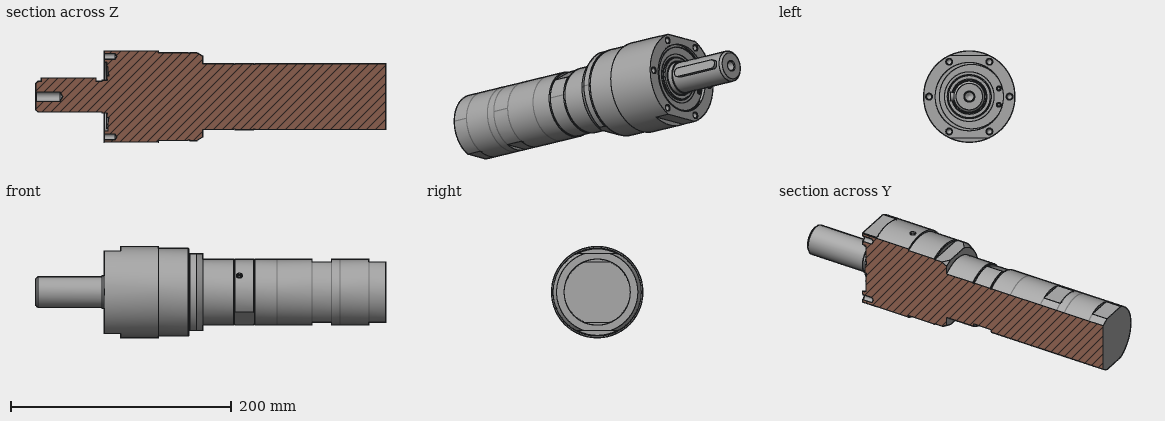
import cadquery as cq
import math


shaft_end = 60.0
body_start = 62.0
body_end = 111.2
nut_start = 139.0
nut_end = 151.5
ring_start = 180.1
ring_end = 198.2
neck_start = 250.7
neck_end = 268.0
tail_start = 302.0
plain_joints = (219.0, neck_start, neck_end, 276.0, tail_start)
total_length = 317.5

shaft_diameter = 28.0
collar_diameter = 30.0
body_diameter = 83.0
housing_diameter = 80.0
motor_diameter = 60.0

shaft_chamfer = 2.0
joint_chamfer = 0.8
nut_chamfer_length = 5.5
nut_chamfer_angle = 30.0
nut_chamfer_height = nut_chamfer_length * math.tan(math.radians(nut_chamfer_angle))

body_flat_length = 15.0
body_across_flats = 75.0
nut_across_flats = 70.0
motor_across_flats = 55.0
ring_flat_tilt = -30.0

key_start = 4.9
key_length = 50.0
key_width = 8.0
key_top = 17.0
key_seat = 10.0
centre_hole_diameter = 8.38
centre_hole_mouth = 10.0
centre_hole_depth = 22.0

bolt_circle_diameter = 73.0
bolt_count = 6
bolt_hole_diameter = 4.92
bolt_hole_mouth = 6.2
bolt_hole_depth = 10.0

seat_diameter = 62.0
seat_depth = 3.6
seal_diameter = 45.0
seal_depth = 3.9
groove_diameter = 40.0
groove_depth = 4.4
race_diameter = 38.0
race_depth = 2.6
race_bore_diameter = 32.0
race_bore_depth = 2.9

clip_thickness = 1.2
clip_inner_diameter = 58.4
clip_offset = 2.1
clip_lug_diameter = 4.4
clip_hole_diameter = 2.5
clip_hole_y = -26.8
clip_hole_z = 7.4

port_mouth = 5.5
port_diameter = 3.6
port_depth = 3.0
pilot_diameter = 1.55
pilot_depth = 7.0
body_port_x = 104.4
ring_port_x = 184.7
ring_port_angle = 60.0

drill_point_angle = 118.0


def cylinder(diameter, start, end):
    """Solid cylinder on the X axis between two stations."""
    return cq.Workplane("YZ").workplane(offset=start).circle(diameter / 2).extrude(end - start)


def drilled_hole(diameter, mouth_diameter, depth):
    """Countersunk blind hole with a drill point, entering along +X at the origin."""
    radius = diameter / 2
    mouth_radius = mouth_diameter / 2
    point_length = radius / math.tan(math.radians(drill_point_angle / 2))
    profile = [
        (0, 0),
        (0, mouth_radius),
        (mouth_radius - radius, radius),
        (depth, radius),
        (depth + point_length, 0),
    ]
    return cq.Workplane("XY").polyline(profile).close().revolve(360, (0, 0, 0), (1, 0, 0))


def flat_pair(across_flats, start, end, angle=0.0):
    """Two opposite cutters that leave flats facing +Z and -Z, then turned about X."""
    length = end - start
    depth = body_diameter / 2
    cutters = cq.Workplane("XY")
    for side in (1, -1):
        centre = (start + length / 2, 0, side * (across_flats + depth) / 2)
        cutters = cutters.add(cq.Workplane("XY").box(length, body_diameter, depth).translate(centre))
    return cutters.combine().rotate((0, 0, 0), (1, 0, 0), angle)


def bearing_seat():
    """Stepped outline of the front recess, from the collar outward to the body face."""
    steps = [
        (collar_diameter, race_bore_diameter, race_bore_depth),
        (race_bore_diameter, race_diameter, race_depth),
        (race_diameter, groove_diameter, groove_depth),
        (groove_diameter, seal_diameter, seal_depth),
        (seal_diameter, seat_diameter, seat_depth),
    ]
    points = []
    for inner, outer, depth in steps:
        points.append((body_start + depth, inner / 2))
        points.append((body_start + depth, outer / 2))
    return points


def turned_body():
    """Revolved spindle with V grooves at the chamfered joints and edges at the plain joints."""
    motor_radius = motor_diameter / 2
    housing_radius = housing_diameter / 2
    profile = [
        (0, 0),
        (0, shaft_diameter / 2 - shaft_chamfer),
        (shaft_chamfer, shaft_diameter / 2),
        (shaft_end, shaft_diameter / 2),
        (shaft_end, collar_diameter / 2),
        *bearing_seat(),
        (body_start, seat_diameter / 2),
        (body_start, body_diameter / 2),
        (body_end, body_diameter / 2),
        (body_end, housing_radius),
        (nut_start - joint_chamfer, housing_radius),
        (nut_start, housing_radius - joint_chamfer),
        (nut_start + joint_chamfer, housing_radius),
        (nut_end - nut_chamfer_length, housing_radius),
        (nut_end, housing_radius - nut_chamfer_height),
        (nut_end, motor_radius),
    ]
    for joint in (ring_start, ring_end):
        profile += [
            (joint - joint_chamfer, motor_radius),
            (joint, motor_radius - joint_chamfer),
            (joint + joint_chamfer, motor_radius),
        ]
    profile += [(joint, motor_radius) for joint in plain_joints]
    profile += [(total_length, motor_radius), (total_length, 0)]
    return cq.Workplane("XY").polyline(profile).close().revolve(360, (0, 0, 0), (1, 0, 0), clean=False)


def wrench_flats(part):
    """Mill the flats on body, nut, ring, neck and tail."""
    part = part.cut(flat_pair(body_across_flats, body_start, body_start + body_flat_length), clean=False)
    part = part.cut(flat_pair(nut_across_flats, nut_start, nut_end), clean=False)
    part = part.cut(flat_pair(motor_across_flats, ring_start, ring_end, ring_flat_tilt), clean=False)
    part = part.cut(flat_pair(motor_across_flats, neck_start, neck_end), clean=False)
    return part.cut(flat_pair(motor_across_flats, tail_start, total_length), clean=False)


def retaining_ring():
    """Internal ring that is thickest at +Y, with two drilled lugs beside its opening."""
    start = body_start + seat_depth - clip_thickness
    end = body_start + seat_depth
    opening = cylinder(clip_inner_diameter, start, end).translate((0, -clip_offset, 0))
    clip = cylinder(seat_diameter, start, end).cut(opening)
    for side in (1, -1):
        place = (0, clip_hole_y, side * clip_hole_z)
        clip = clip.union(cylinder(clip_lug_diameter, start, end).translate(place))
    clip = clip.intersect(cylinder(seat_diameter, start, end))
    for side in (1, -1):
        place = (0, clip_hole_y, side * clip_hole_z)
        clip = clip.cut(cylinder(clip_hole_diameter, start, end).translate(place))
    return clip


def shaft_key():
    """Parallel key with round ends, standing on the +Y side of the shaft."""
    return (
        cq.Workplane("XZ", origin=(key_start + key_length / 2, key_top, 0))
        .slot2D(key_length, key_width)
        .extrude(key_top - key_seat)
    )


def face_holes(part):
    """Bolt holes in the front face and the centre hole in the shaft tip."""
    bolt = drilled_hole(bolt_hole_diameter, bolt_hole_mouth, bolt_hole_depth)
    bolt = bolt.translate((body_start, bolt_circle_diameter / 2, 0))
    for index in range(bolt_count):
        part = part.cut(bolt.rotate((0, 0, 0), (1, 0, 0), index * 360 / bolt_count), clean=False)
    return part.cut(drilled_hole(centre_hole_diameter, centre_hole_mouth, centre_hole_depth), clean=False)


def lubrication_port(x, outer_diameter, angle):
    """Countersunk radial hole with a narrow pilot, entering from +Z and then turned about X."""
    hole = drilled_hole(port_diameter, port_mouth, port_depth)
    hole = hole.union(cylinder(pilot_diameter, 0, pilot_depth))
    hole = hole.rotate((0, 0, 0), (0, 1, 0), 90).translate((x, 0, outer_diameter / 2))
    return hole.rotate((0, 0, 0), (1, 0, 0), angle)


result = wrench_flats(turned_body())
result = result.union(retaining_ring(), clean=False)
result = result.union(shaft_key(), clean=False)
result = face_holes(result)
result = result.cut(lubrication_port(body_port_x, body_diameter, 0), clean=False)
result = result.cut(lubrication_port(ring_port_x, motor_diameter, ring_port_angle), clean=False)